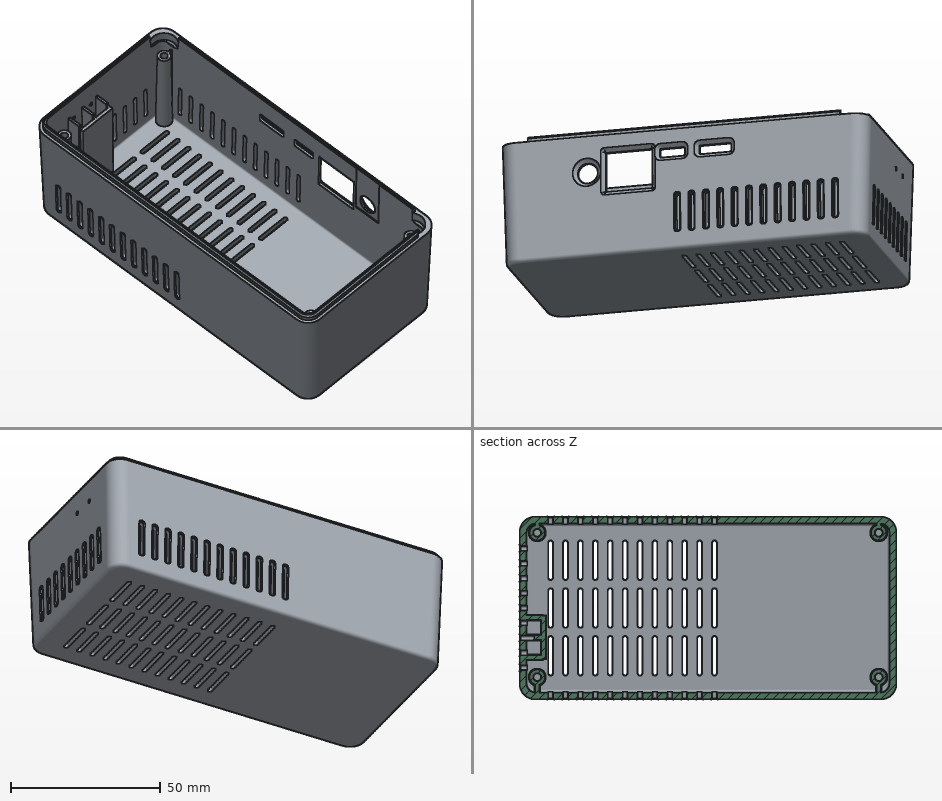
import cadquery as cq
import math

length = 128.0
width = 63.0
total_height = 44.0
lip_height = 2.0
body_height = total_height - lip_height
wall_draft = 1.5
corner_radius = 5.5
bottom_fillet = 1.3

wall = 2.4
inner_corner_radius = 3.1
floor_thickness = 2.5
floor_fillet = 0.6

lip_inset = 1.2
lip_chamfer = 0.6
lip_gap_x = 54.3
lip_gap_y = 22.9

rib_draft = 1.0
post_x = 57.2
back_post_y = 25.2
front_post_y = -23.2
post_top = 35.8
post_top_radius = 2.3
screw_hole_radius = 1.3
post_rib_width = 0.8

pocket_floor = 37.9
pocket_floor_radius = 4.6
pocket_draft = 3.0
pocket_chamfer = 0.8

slot_pitch = 5.0
slot_width = 1.5
slot_length = 13.2
slot_chamfer = 0.4
long_row_count = 12
end_row_count = 9
first_slot_x = -52.7
wall_slot_z = 12.9
floor_row_pitch = 16.0

indicator_ys = (-5.9, -14.2)
indicator_z = 33.9
indicator_radius = 0.6
shield_rib_width = 0.9
shield_rib_ys = (-3.2, -9.9, -16.5)
shield_rib_end_x = -56.5
shield_bar_inner_x = -55.7
shield_bar_outer_x = -54.4
shield_bar_top = 34.8
shield_bar_draft = 0.5

opening_chamfer = 1.4
socket_xs = ((-16.4, -5.2), (-0.3, 8.5))
socket_zs = (32.8, 35.8)
socket_corner_radius = 0.6
window_xs = (11.1, 27.3)
window_zs = (22.4, 36.1)
jack_x = 33.5
jack_z = 29.5
jack_radius = 3.5
jack_recess_width = 10.5
jack_recess_bottom = 24.6
jack_recess_top_wall = 2.3

FRONT = (0, -1)
BACK = (0, 1)
LEFT = (-1, 0)


def drop(angle, depth):
    """Sideways shift of a face drafted by the angle over the given depth."""
    return depth * math.tan(math.radians(angle))


def drafted_block(size_x, size_y, top_z, bottom_z, radius):
    """Rounded block of the given size at top_z, narrowing downward by the wall draft."""
    block = cq.Workplane("XY", origin=(0, 0, top_z)).rect(size_x, size_y)
    block = block.extrude(bottom_z - top_z, taper=wall_draft)
    return block.edges("not (|X or |Y)").fillet(radius)


def rib(x0, x1, y0, y1, top_z, draft=rib_draft):
    """Rib standing in the floor, given by its top rectangle."""
    center = ((x0 + x1) / 2, (y0 + y1) / 2, top_z)
    top = cq.Workplane("XY", origin=center).rect(x1 - x0, y1 - y0)
    return top.extrude(floor_thickness / 2 - top_z, taper=-draft)


def wall_plane(outward, z, depth=0):
    """Plane parallel to a drafted outer wall face, centered on that wall at height z."""
    out_x, out_y = outward
    half_size = length / 2 if out_x else width / 2
    distance = half_size - drop(wall_draft, body_height - z)
    tilt = math.radians(wall_draft)
    normal = cq.Vector(out_x * math.cos(tilt), out_y * math.cos(tilt), -math.sin(tilt))
    face_center = cq.Vector(out_x * distance, out_y * distance, z)
    return cq.Plane(face_center - normal * depth, xDir=(-out_y, out_x, 0), normal=normal)


def chamfered_cut(outline, outward, z, chamfer):
    """Cutter through a wall, flared at 45 degrees where it meets the outer face."""
    through = outline(cq.Workplane(wall_plane(outward, z))).extrude(-2 * wall)
    flare = outline(cq.Workplane(wall_plane(outward, z, chamfer))).extrude(2 * chamfer, taper=-45)
    return through.union(flare)


def slot_outlines(positions):
    """Upright slots at the given positions along a wall."""
    points = [(position, 0) for position in positions]
    return lambda plane: plane.pushPoints(points).slot2D(slot_length, slot_width, 90)


def rectangle_outline(xs, zs):
    """Rectangle on the back wall, whose plane runs toward -X."""
    center = -sum(xs) / 2
    return lambda plane: plane.center(center, 0).rect(xs[1] - xs[0], zs[1] - zs[0])


def rounded_outline(xs, zs, radius):
    """Rectangle with rounded corners on the back wall."""
    center = -sum(xs) / 2
    shape = cq.Sketch().rect(xs[1] - xs[0], zs[1] - zs[0]).vertices().fillet(radius)
    return lambda plane: plane.center(center, 0).placeSketch(shape)


def jack_outline(plane):
    """Round jack hole on the back wall."""
    return plane.center(-jack_x, 0).circle(jack_radius)


def make_lip():
    """Chamfered rim, starting inside the body so that it fuses with it."""
    rim = cq.Workplane("XY", origin=(0, 0, body_height - lip_height))
    rim = rim.rect(length - 2 * lip_inset, width - 2 * lip_inset).extrude(2 * lip_height)
    rim = rim.edges("|Z").fillet(corner_radius - lip_inset)
    rim = rim.faces(">Z").edges().chamfer(lip_chamfer)
    gap_x = length / 2 - lip_gap_x
    gap_y = width / 2 - lip_gap_y
    for side in (-1, 1):
        gap_center = (side * (lip_gap_x + gap_x / 2), lip_gap_y + gap_y / 2, body_height)
        rim = rim.cut(cq.Workplane("XY", origin=gap_center).rect(gap_x, gap_y).extrude(lip_height))
    return rim


body = drafted_block(length, width, body_height, 0, corner_radius)
body = body.faces("<Z").edges().fillet(bottom_fillet)
body = body.union(make_lip())
cavity = drafted_block(
    length - 2 * wall, width - 2 * wall, total_height, floor_thickness, inner_corner_radius
)
body = body.cut(cavity.faces("<Z").edges().fillet(floor_fillet))

for side in (-1, 1):
    pocket = cq.Workplane("XY", origin=(side * post_x, back_post_y, pocket_floor))
    pocket = pocket.circle(pocket_floor_radius)
    pocket = pocket.extrude(total_height - pocket_floor, taper=-pocket_draft)
    body = body.cut(pocket.faces("<Z").edges().chamfer(pocket_chamfer))

rib_root_y = width / 2 - wall
for post_y, root_y in ((back_post_y, rib_root_y), (front_post_y, -rib_root_y)):
    for x in (-post_x, post_x):
        post = cq.Workplane("XY", origin=(x, post_y, post_top)).circle(post_top_radius)
        post = post.extrude(floor_thickness / 2 - post_top, taper=-rib_draft)
        post_rib = rib(
            x - post_rib_width / 2, x + post_rib_width / 2,
            min(post_y, root_y), max(post_y, root_y), post_top,
        )
        hole = cq.Workplane("XY", origin=(x, post_y, floor_thickness)).circle(screw_hole_radius)
        hole = hole.extrude(post_top - floor_thickness)
        body = body.union(post).union(post_rib).cut(hole)

half_rib = shield_rib_width / 2
end_wall_x = wall - length / 2
for y in shield_rib_ys:
    y0 = y - half_rib
    y1 = y + half_rib
    body = body.union(rib(end_wall_x, shield_rib_end_x, y0, y1, post_top))
    body = body.union(rib(shield_rib_end_x, shield_bar_inner_x, y0, y1, shield_bar_top))
bar_y0 = min(shield_rib_ys) - half_rib
bar_y1 = max(shield_rib_ys) + half_rib
body = body.union(
    rib(shield_bar_inner_x, shield_bar_outer_x, bar_y0, bar_y1, shield_bar_top, shield_bar_draft)
)

slot_xs = [first_slot_x + i * slot_pitch for i in range(long_row_count)]
end_slot_ys = [(i - (end_row_count - 1) / 2) * slot_pitch for i in range(end_row_count)]
mirrored_slot_xs = [-x for x in slot_xs]
for outward, positions in ((FRONT, slot_xs), (BACK, mirrored_slot_xs), (LEFT, end_slot_ys)):
    body = body.cut(chamfered_cut(slot_outlines(positions), outward, wall_slot_z, slot_chamfer))

floor_points = [(x, y) for x in slot_xs for y in (-floor_row_pitch, 0, floor_row_pitch)]
floor_slots = cq.Workplane("XY").pushPoints(floor_points).slot2D(slot_length, slot_width, 90)
body = body.cut(floor_slots.extrude(floor_thickness))

indicators = cq.Workplane("YZ", origin=(-length / 2, 0, indicator_z))
indicators = indicators.pushPoints([(y, 0) for y in indicator_ys]).circle(indicator_radius)
body = body.cut(indicators.extrude(2 * wall))

recess_height = total_height - jack_recess_bottom
recess_top_y = width / 2 - jack_recess_top_wall
recess_bottom_y = recess_top_y - drop(rib_draft, recess_height)
recess_inner_y = recess_top_y - wall
recess = (
    cq.Workplane("YZ", origin=(jack_x, 0, 0))
    .moveTo(recess_inner_y, jack_recess_bottom)
    .lineTo(recess_bottom_y, jack_recess_bottom)
    .lineTo(recess_top_y, total_height)
    .lineTo(recess_inner_y, total_height)
    .close()
    .extrude(jack_recess_width / 2, both=True)
)
body = body.cut(recess)

socket_z = sum(socket_zs) / 2
for xs in socket_xs:
    outline = rounded_outline(xs, socket_zs, socket_corner_radius)
    body = body.cut(chamfered_cut(outline, BACK, socket_z, opening_chamfer))
window = rectangle_outline(window_xs, window_zs)
body = body.cut(chamfered_cut(window, BACK, sum(window_zs) / 2, opening_chamfer))
body = body.cut(chamfered_cut(jack_outline, BACK, jack_z, opening_chamfer))

result = body